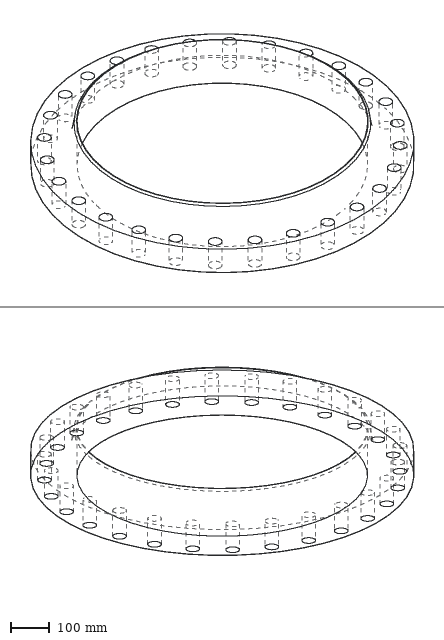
import cadquery as cq
import math

flange_diameter = 984.25
flange_thickness = 73.0

overall_height = 135.13
neck_diameter = 762.0
neck_wall = 8.0
bore_diameter = neck_diameter - 2 * neck_wall
neck_length = 9.5
hub_base_diameter = 781.0
hub_fillet_radius = 6.0

land_width = 1.6
bevel_angle = 37.5
bevel_width = neck_wall - land_width
bevel_height = bevel_width * math.tan(math.radians(bevel_angle))

bolt_count = 28
bolt_circle_diameter = 914.4
bolt_hole_diameter = 35.0


def ring_body():
    """Revolve the flange and hub section around Z, then round the foot of the hub."""
    bore_radius = bore_diameter / 2
    flange_radius = flange_diameter / 2
    hub_base_radius = hub_base_diameter / 2
    neck_radius = neck_diameter / 2
    section = (
        cq.Workplane("XZ")
        .moveTo(bore_radius, 0)
        .lineTo(flange_radius, 0)
        .lineTo(flange_radius, flange_thickness)
        .lineTo(hub_base_radius, flange_thickness)
        .lineTo(neck_radius, overall_height - neck_length)
        .lineTo(neck_radius, overall_height - bevel_height)
        .lineTo(bore_radius + land_width, overall_height)
        .lineTo(bore_radius, overall_height)
        .close()
    )
    body = section.revolve(360, (0, 0, 0), (0, 1, 0))
    hub_foot = cq.selectors.RadiusNthSelector(-2)
    return body.edges("%CIRCLE").edges(hub_foot).fillet(hub_fillet_radius)


def bolt_holes():
    """Cylinders through the flange, the first one on the +X axis."""
    return (
        cq.Workplane("XY")
        .polarArray(bolt_circle_diameter / 2, 0, 360, bolt_count)
        .circle(bolt_hole_diameter / 2)
        .extrude(flange_thickness)
    )


result = ring_body().cut(bolt_holes())